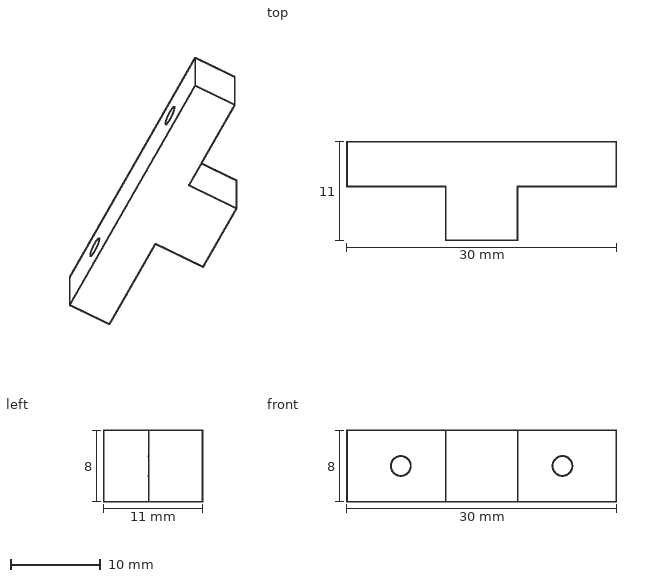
import cadquery as cq

bar_length = 30.0
bar_thickness = 5.0
height = 8.0
total_depth = 11.0
block_width = height
hole_spacing = 18.0
hole_diameter = 2.2

block_depth = total_depth - bar_thickness

bar = cq.Workplane("XY").box(bar_length, bar_thickness, height, centered=(True, False, True))

block = (
    cq.Workplane("XY")
    .box(block_width, block_depth, height, centered=(True, False, True))
    .translate((0, -block_depth, 0))
)

holes = (
    cq.Workplane("XZ")
    .pushPoints([(-hole_spacing / 2, 0), (hole_spacing / 2, 0)])
    .circle(hole_diameter / 2)
    .extrude(-bar_thickness)
)

result = bar.union(block).cut(holes)